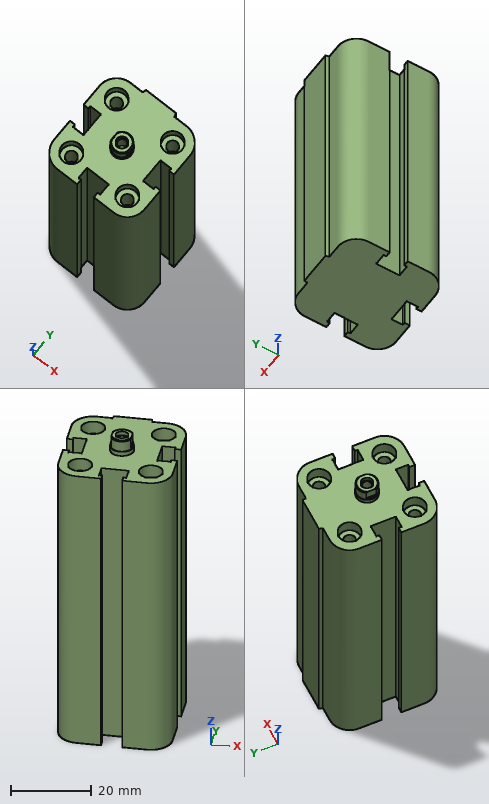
import cadquery as cq

housing_width = 29.0
housing_height = 78.1
corner_radius = 5.5

strip_top_width = 9.65
strip_height = 1.0
strip_flare = 0.25

slot_opening_width = 5.4
slot_inner_width = 6.9
slot_lip_thickness = 1.6
slot_depth = 4.95

mounting_hole_offset = housing_width / 2 - corner_radius
mounting_hole_diameter = 3.2
mounting_hole_depth = 12.5
counterbore_diameter = 6.0
counterbore_depth = 3.5

total_height = 82.5
rod_diameter = 6.0
rod_insertion_depth = 12.5
rod_shoulder_height = 1.2
rod_tip_diameter = 5.8
rod_tip_chamfer = 0.25
rod_flats_width = 5.0
rod_flats_height = 2.55

rod_hole_diameter = 2.5
rod_hole_depth = 6.6
rod_hole_entry_diameter = 3.2
rod_hole_entry_depth = 1.1


def make_profile_block():
    """Square block with rounded vertical corners, standing on Z = 0."""
    block = cq.Workplane("XY").rect(housing_width, housing_width).extrude(housing_height)
    return block.edges("|Z").fillet(corner_radius)


def make_strip():
    """Raised strip on the +Y side, with flanks that flare out towards its root."""
    side = housing_width / 2
    top_y = side + strip_height
    half_top = strip_top_width / 2
    half_root = half_top + strip_flare
    return (
        cq.Workplane("XY")
        .polyline(
            [
                (-half_root, 0),
                (-half_root, side),
                (-half_top, top_y),
                (half_top, top_y),
                (half_root, side),
                (half_root, 0),
            ]
        )
        .close()
        .extrude(housing_height)
    )


def make_slot(angle):
    """Full-length T-slot cutter for the -Y side, turned about Z by the given angle."""
    side = -housing_width / 2
    opening = (
        cq.Workplane("XY")
        .center(0, side + slot_depth / 2)
        .rect(slot_opening_width, slot_depth)
        .extrude(housing_height)
    )
    inner_depth = slot_depth - slot_lip_thickness
    inner = (
        cq.Workplane("XY")
        .center(0, side + slot_lip_thickness + inner_depth / 2)
        .rect(slot_inner_width, inner_depth)
        .extrude(housing_height)
    )
    return opening.union(inner).rotate((0, 0, 0), (0, 0, 1), angle)


def make_housing():
    """Profile block with strip, T-slots, mounting holes and a blind bore for the rod."""
    body = make_profile_block().union(make_strip())
    for angle in (-90, 0, 90):
        body = body.cut(make_slot(angle))
    top = cq.Workplane("XY").workplane(offset=housing_height)
    hole_spacing = 2 * mounting_hole_offset
    hole_centres = top.rect(hole_spacing, hole_spacing, forConstruction=True).vertices()
    counterbores = hole_centres.circle(counterbore_diameter / 2).extrude(-counterbore_depth)
    holes = hole_centres.circle(mounting_hole_diameter / 2).extrude(-mounting_hole_depth)
    bore = top.circle(rod_diameter / 2).extrude(-rod_insertion_depth)
    return body.cut(counterbores).cut(holes).cut(bore)


def make_rod():
    """Stepped rod with a chamfered end, wrench flats facing -X and +X, and an end hole."""
    shank_base = housing_height - rod_insertion_depth
    flat_cutter_x = (rod_flats_width + rod_diameter) / 2
    shoulder_z = housing_height + rod_shoulder_height
    shank = (
        cq.Workplane("XY")
        .workplane(offset=shank_base)
        .circle(rod_diameter / 2)
        .extrude(shoulder_z - shank_base)
    )
    tip = (
        cq.Workplane("XY")
        .workplane(offset=shoulder_z)
        .circle(rod_tip_diameter / 2)
        .extrude(total_height - shoulder_z)
        .faces(">Z")
        .chamfer(rod_tip_chamfer)
    )
    end = cq.Workplane("XY").workplane(offset=total_height)
    flat_cutters = (
        end.pushPoints([(-flat_cutter_x, 0), (flat_cutter_x, 0)])
        .rect(rod_diameter, rod_diameter)
        .extrude(-rod_flats_height)
    )
    hole = end.circle(rod_hole_diameter / 2).extrude(-rod_hole_depth)
    hole_entry = end.circle(rod_hole_entry_diameter / 2).extrude(-rod_hole_entry_depth)
    return shank.union(tip).cut(flat_cutters).cut(hole).cut(hole_entry)


housing = make_housing()
rod = make_rod()

result = cq.Compound.makeCompound([housing.val(), rod.val()])